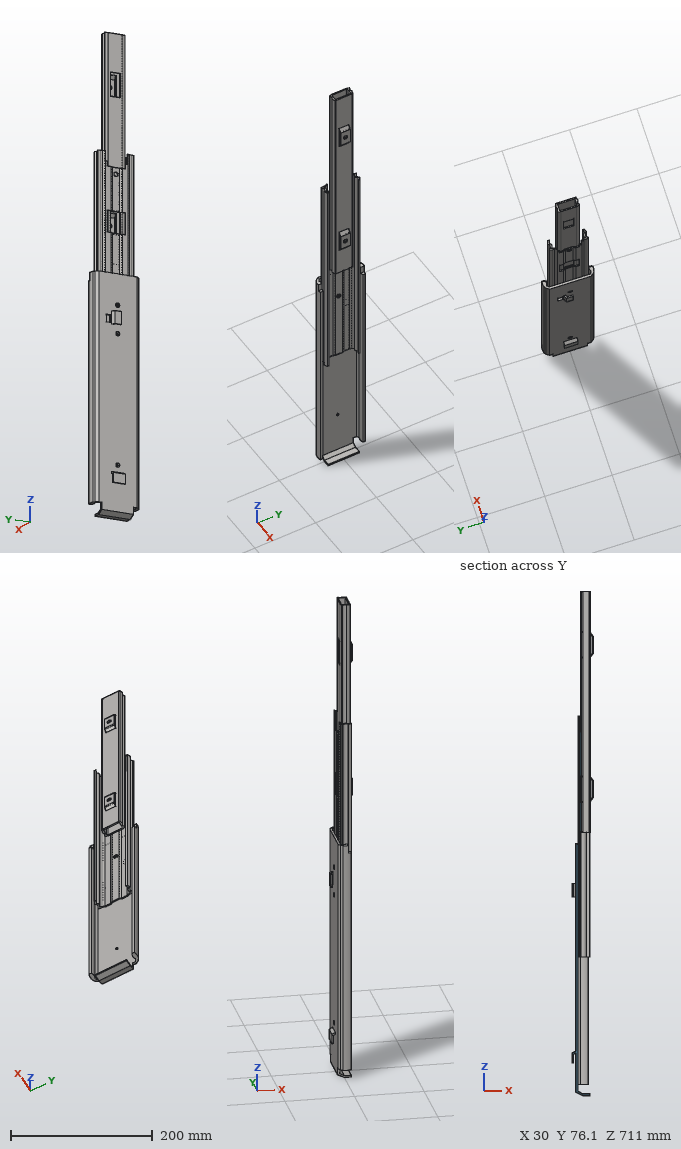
import cadquery as cq


TOTAL_LENGTH = 711.0
TOP_Z = TOTAL_LENGTH / 2
BOTTOM_Z = -TOTAL_LENGTH / 2
RAIL_LENGTH = 340.0
SLIDE_FRONT_X = -15.0
SLIDE_BACK_X = -SLIDE_FRONT_X
HOLE_DIAMETER = 6.5
CUT_MARGIN = 7.0

OUTER_TOP_Z = 0.0
OUTER_BOTTOM_Z = OUTER_TOP_Z - RAIL_LENGTH
OUTER_HALF_WIDTH = 38.05
OUTER_FRONT_X = -10.0
OUTER_WEB_THICKNESS = 3.5
OUTER_WEB_BACK_X = OUTER_FRONT_X + OUTER_WEB_THICKNESS
OUTER_WEB_HALF_WIDTH = 30.5
OUTER_BACK_X = 8.0
OUTER_SLOPE_BACK_X = -7.0
OUTER_SLOPE_DROP = 3.2
OUTER_BULGE_FRONT_X = -4.0
OUTER_BULGE_RISE = 1.1
OUTER_FLANGE_THICKNESS = 3.9
OUTER_BEAD_FRONT_X = -3.0
OUTER_BEAD_HEIGHT = 1.5
OUTER_NOTCH_HEIGHT = 11.5
OUTER_NOTCH_X = 3.5
STOP_HALF_WIDTH = 25.5
STOP_BACK_X = 10.0
STOP_BEND_X = 0.0
STOP_BEND_HEIGHT = 5.0
STOP_THICKNESS = 3.0
OUTER_THROUGH_HOLE_Z = -46.0
COUNTERSUNK_HOLE_ZS = (-88.0, -281.5)
COUNTERSUNK_BORE_DIAMETER = 3.5
HOOK_THICKNESS = 2.0
SIDE_HOOK_TOP_Z = -56.0
SIDE_HOOK_BOTTOM_Z = -75.5
SIDE_HOOK_ROOT_Y = 10.0
SIDE_HOOK_BEND_Y = 7.0
SIDE_HOOK_TIP_Y = -3.0
SIDE_WINDOW_TOP_Z = -62.0
SIDE_WINDOW_BOTTOM_Z = -73.0
SIDE_WINDOW_INNER_Y = 11.5
SIDE_WINDOW_OUTER_Y = 18.5
LOWER_HOOK_HALF_WIDTH = 10.0
LOWER_HOOK_TOP_Z = -292.0
LOWER_HOOK_BEND_Z = -295.0
LOWER_HOOK_BOTTOM_Z = -309.5

MIDDLE_TOP_Z = 180.0
MIDDLE_BOTTOM_Z = MIDDLE_TOP_Z - RAIL_LENGTH
MIDDLE_HALF_WIDTH = 29.0
MIDDLE_FRONT_X = -6.5
MIDDLE_BACK_X = 10.0
MIDDLE_SHEET_THICKNESS = 1.8
MIDDLE_GROOVE_DEPTH = 1.5
MIDDLE_GROOVE_FLOOR_Y = 6.0
MIDDLE_GROOVE_RIM_Y = 9.0
MIDDLE_WEB_HALF_WIDTH = 18.15
MIDDLE_STEP_DEPTH = 1.5
MIDDLE_STEP_INNER_Y = 21.7
MIDDLE_STEP_OUTER_Y = 25.0
MIDDLE_FLANGE_FRONT_X = -4.0
MIDDLE_TRACK_FRONT_X = -2.0
MIDDLE_TRACK_BACK_X = 5.0
MIDDLE_TRACK_FLOOR_X = 1.5
MIDDLE_TRACK_DEPTH = 3.0
MIDDLE_TRACK_FRONT_DROP = 1.1
MIDDLE_LIP_DROP = 2.0
MIDDLE_FLANGE_THICKNESS = 3.0
MIDDLE_NOTCH_DEPTH = 22.0
MIDDLE_NOTCH_SHOULDER_DEPTH = 15.0
MIDDLE_NOTCH_HALF_WIDTH = 18.0
MIDDLE_WINDOW_HALF_WIDTH = 14.6
MIDDLE_WINDOW_HEIGHT = 32.0
MIDDLE_HOLE_ZS = (148.0, OUTER_THROUGH_HOLE_Z)

INNER_BOTTOM_Z = TOP_Z - RAIL_LENGTH
INNER_HALF_WIDTH = 16.5
INNER_FRONT_X = MIDDLE_FRONT_X + MIDDLE_GROOVE_DEPTH + MIDDLE_SHEET_THICKNESS
INNER_WEB_THICKNESS = 1.8
INNER_BACK_X = 11.0
INNER_WEB_HALF_WIDTH = 11.5
INNER_FLANGE_FRONT_X = -2.0
INNER_FLANGE_INSIDE_X = 0.0
INNER_TRACK_FRONT_X = -1.0
INNER_TRACK_BACK_X = 5.0
INNER_TRACK_DEPTH = 1.5
INNER_LIP_DROP = 1.5
STRIP_THICKNESS = 2.0
STRIP_HALF_WIDTH = 13.0
PAD_ZS = (280.0, 77.0)
PAD_HEIGHT = 35.5
PAD_HALF_WIDTH = 8.0
PAD_SLOPE_HEIGHT = 6.0


def box(x_range, y_range, z_range):
    """An axis-aligned block between the given limits."""
    sizes = [high - low for low, high in (x_range, y_range, z_range)]
    corner = cq.Vector(x_range[0], y_range[0], z_range[0])
    return cq.Workplane(obj=cq.Solid.makeBox(*sizes, corner))


def both_sides(half_width):
    """Y limits of a feature centred on Y = 0."""
    return -half_width, half_width


def rail_from_half_section(half_section, bottom_z, top_z):
    """Extrudes the +Y half of a rail along Z and joins it to its mirror image."""
    half = half_section.close().extrude(top_z - bottom_z).translate((0, 0, bottom_z))
    return half.union(half.mirror("XZ"))


def bar_from_xz_outline(points, y_range):
    """Extrudes an outline of (x, z) points across the given Y limits."""
    bar = cq.Workplane("XZ").polyline(points).close().extrude(y_range[0] - y_range[1])
    return bar.translate((0, y_range[0], 0))


def x_hole(diameter, z):
    """A cylinder along X that crosses the whole slide on Y = 0."""
    depth = SLIDE_BACK_X - SLIDE_FRONT_X
    start = cq.Vector(SLIDE_FRONT_X, 0, z)
    return cq.Workplane(obj=cq.Solid.makeCylinder(diameter / 2, depth, start, cq.Vector(1, 0, 0)))


def outer_channel():
    """A channel open to +X whose flanges bulge outward and carry a low bead on the inside."""
    y_shoulder = OUTER_HALF_WIDTH - OUTER_SLOPE_DROP
    y_bulge_edge = OUTER_HALF_WIDTH - OUTER_BULGE_RISE
    y_inside = y_bulge_edge - OUTER_FLANGE_THICKNESS
    bulge_top = ((OUTER_BULGE_FRONT_X + OUTER_BACK_X) / 2, OUTER_HALF_WIDTH)
    bead_top = ((OUTER_BEAD_FRONT_X + OUTER_BACK_X) / 2, y_inside - OUTER_BEAD_HEIGHT)
    section = (
        cq.Workplane("XY")
        .moveTo(OUTER_FRONT_X, 0)
        .lineTo(OUTER_FRONT_X, OUTER_WEB_HALF_WIDTH)
        .lineTo(OUTER_SLOPE_BACK_X, y_shoulder)
        .lineTo(OUTER_BULGE_FRONT_X, y_bulge_edge)
        .threePointArc(bulge_top, (OUTER_BACK_X, y_bulge_edge))
        .lineTo(OUTER_BACK_X, y_inside)
        .threePointArc(bead_top, (OUTER_BEAD_FRONT_X, y_inside))
        .lineTo(OUTER_WEB_BACK_X, OUTER_WEB_HALF_WIDTH)
        .lineTo(OUTER_WEB_BACK_X, 0)
    )
    return rail_from_half_section(section, OUTER_BOTTOM_Z, OUTER_TOP_Z)


def outer_flange_notch():
    """Cuts both flanges back at the top end."""
    return box(
        (OUTER_NOTCH_X, OUTER_BACK_X + CUT_MARGIN),
        both_sides(OUTER_HALF_WIDTH + CUT_MARGIN),
        (OUTER_TOP_Z - OUTER_NOTCH_HEIGHT, OUTER_TOP_Z + CUT_MARGIN),
    )


def bottom_stop():
    """A tongue that continues the web downward and bends to +X under the rail."""
    points = [
        (OUTER_FRONT_X, OUTER_BOTTOM_Z),
        (OUTER_FRONT_X, BOTTOM_Z + STOP_BEND_HEIGHT),
        (STOP_BEND_X, BOTTOM_Z),
        (STOP_BACK_X, BOTTOM_Z),
        (STOP_BACK_X, BOTTOM_Z + STOP_THICKNESS),
        (STOP_BEND_X, BOTTOM_Z + STOP_THICKNESS),
        (OUTER_WEB_BACK_X, BOTTOM_Z + STOP_BEND_HEIGHT + STOP_THICKNESS / 2),
        (OUTER_WEB_BACK_X, OUTER_BOTTOM_Z),
    ]
    return bar_from_xz_outline(points, both_sides(STOP_HALF_WIDTH))


def countersunk_hole(z):
    """A through bore with a cone that opens to the full hole diameter at the front of the web."""
    cone = cq.Solid.makeCone(
        HOLE_DIAMETER / 2,
        COUNTERSUNK_BORE_DIAMETER / 2,
        OUTER_WEB_THICKNESS / 2,
        cq.Vector(OUTER_FRONT_X, 0, z),
        cq.Vector(1, 0, 0),
    )
    return x_hole(COUNTERSUNK_BORE_DIAMETER, z).union(cq.Workplane(obj=cone))


def side_hook():
    """A hook lanced from the web: it leaves at its +Y root and its lip points to -Y."""
    lip_back_x = SLIDE_FRONT_X + HOOK_THICKNESS
    points = [
        (OUTER_FRONT_X, SIDE_HOOK_ROOT_Y),
        (SLIDE_FRONT_X, SIDE_HOOK_BEND_Y),
        (SLIDE_FRONT_X, SIDE_HOOK_TIP_Y),
        (lip_back_x, SIDE_HOOK_TIP_Y),
        (lip_back_x, SIDE_HOOK_BEND_Y - HOOK_THICKNESS),
        (OUTER_FRONT_X, SIDE_HOOK_BEND_Y),
    ]
    height = SIDE_HOOK_TOP_Z - SIDE_HOOK_BOTTOM_Z
    hook = cq.Workplane("XY").polyline(points).close().extrude(height)
    return hook.translate((0, 0, SIDE_HOOK_BOTTOM_Z))


def side_hook_window():
    """The opening in the web beside the root of the side hook."""
    return box(
        (OUTER_FRONT_X, OUTER_WEB_BACK_X),
        (SIDE_WINDOW_INNER_Y, SIDE_WINDOW_OUTER_Y),
        (SIDE_WINDOW_BOTTOM_Z, SIDE_WINDOW_TOP_Z),
    )


def lower_hook():
    """A hook lanced from the web: it leaves at its top and its lip points down."""
    lip_back_x = SLIDE_FRONT_X + HOOK_THICKNESS
    points = [
        (OUTER_FRONT_X, LOWER_HOOK_TOP_Z),
        (SLIDE_FRONT_X, LOWER_HOOK_BEND_Z),
        (SLIDE_FRONT_X, LOWER_HOOK_BOTTOM_Z),
        (lip_back_x, LOWER_HOOK_BOTTOM_Z),
        (lip_back_x, LOWER_HOOK_BEND_Z - HOOK_THICKNESS),
        (OUTER_FRONT_X, LOWER_HOOK_BEND_Z),
    ]
    return bar_from_xz_outline(points, both_sides(LOWER_HOOK_HALF_WIDTH))


def make_outer_rail():
    rail = outer_channel().cut(outer_flange_notch()).union(bottom_stop())
    rail = rail.cut(x_hole(HOLE_DIAMETER, OUTER_THROUGH_HOLE_Z)).cut(side_hook_window())
    for z in COUNTERSUNK_HOLE_ZS:
        rail = rail.cut(countersunk_hole(z))
    return rail.union(side_hook()).union(lower_hook())


def middle_channel():
    """A channel open to +X with a grooved web, stepped shoulders and a ball track in each flange."""
    y_top = MIDDLE_HALF_WIDTH
    x_web = MIDDLE_FRONT_X
    x_groove = x_web + MIDDLE_GROOVE_DEPTH
    x_step = x_web + MIDDLE_STEP_DEPTH
    sheet = MIDDLE_SHEET_THICKNESS
    flange = MIDDLE_FLANGE_THICKNESS
    y_track_front = y_top - MIDDLE_TRACK_FRONT_DROP
    y_track_floor = y_top - MIDDLE_TRACK_DEPTH
    y_lip = y_top - MIDDLE_LIP_DROP
    section = (
        cq.Workplane("XY")
        .moveTo(x_groove, 0)
        .lineTo(x_groove, MIDDLE_GROOVE_FLOOR_Y)
        .lineTo(x_web, MIDDLE_GROOVE_RIM_Y)
        .lineTo(x_web, MIDDLE_WEB_HALF_WIDTH)
        .lineTo(x_step, MIDDLE_STEP_INNER_Y)
        .lineTo(x_step, MIDDLE_STEP_OUTER_Y)
        .lineTo(MIDDLE_FLANGE_FRONT_X, y_top)
        .lineTo(MIDDLE_TRACK_FRONT_X, y_track_front)
        .threePointArc((MIDDLE_TRACK_FLOOR_X, y_track_floor), (MIDDLE_TRACK_BACK_X, y_top))
        .lineTo(MIDDLE_BACK_X, y_lip)
        .lineTo(MIDDLE_BACK_X, y_lip - flange)
        .lineTo(MIDDLE_TRACK_BACK_X, y_top - flange)
        .threePointArc(
            (MIDDLE_TRACK_FLOOR_X, y_track_floor - flange),
            (MIDDLE_TRACK_FRONT_X, y_track_front - flange),
        )
        .lineTo(x_step + sheet, MIDDLE_STEP_INNER_Y)
        .lineTo(x_web + sheet, MIDDLE_WEB_HALF_WIDTH)
        .lineTo(x_web + sheet, MIDDLE_GROOVE_RIM_Y)
        .lineTo(x_groove + sheet, MIDDLE_GROOVE_FLOOR_Y)
        .lineTo(x_groove + sheet, 0)
    )
    return rail_from_half_section(section, MIDDLE_BOTTOM_Z, MIDDLE_TOP_Z)


def middle_web_cut(half_width, bottom_z, top_z):
    """A block that removes the middle rail's web over the given width and height."""
    return box((MIDDLE_FRONT_X, INNER_FRONT_X), both_sides(half_width), (bottom_z, top_z))


def make_middle_rail():
    window_z = PAD_ZS[1]
    notch_z = MIDDLE_TOP_Z - MIDDLE_NOTCH_DEPTH
    shoulder_z = MIDDLE_TOP_Z - MIDDLE_NOTCH_SHOULDER_DEPTH
    half_height = MIDDLE_WINDOW_HEIGHT / 2
    rail = middle_channel()
    rail = rail.cut(middle_web_cut(MIDDLE_NOTCH_HALF_WIDTH, shoulder_z, MIDDLE_TOP_Z))
    rail = rail.cut(middle_web_cut(MIDDLE_WINDOW_HALF_WIDTH, notch_z, shoulder_z))
    rail = rail.cut(
        middle_web_cut(MIDDLE_WINDOW_HALF_WIDTH, window_z - half_height, window_z + half_height)
    )
    for z in MIDDLE_HOLE_ZS:
        rail = rail.cut(x_hole(HOLE_DIAMETER, z))
    return rail


def inner_channel():
    """A channel open to +X with a ball track in each flange."""
    y_top = INNER_HALF_WIDTH
    x_web_back = INNER_FRONT_X + INNER_WEB_THICKNESS
    track_floor = ((INNER_TRACK_FRONT_X + INNER_TRACK_BACK_X) / 2, y_top - INNER_TRACK_DEPTH)
    section = (
        cq.Workplane("XY")
        .moveTo(INNER_FRONT_X, 0)
        .lineTo(INNER_FRONT_X, INNER_WEB_HALF_WIDTH)
        .lineTo(INNER_FLANGE_FRONT_X, y_top)
        .lineTo(INNER_TRACK_FRONT_X, y_top)
        .threePointArc(track_floor, (INNER_TRACK_BACK_X, y_top))
        .lineTo(INNER_BACK_X, y_top - INNER_LIP_DROP)
        .lineTo(INNER_BACK_X, STRIP_HALF_WIDTH)
        .lineTo(INNER_FLANGE_INSIDE_X, STRIP_HALF_WIDTH)
        .lineTo(x_web_back, INNER_WEB_HALF_WIDTH)
        .lineTo(x_web_back, 0)
    )
    return rail_from_half_section(section, INNER_BOTTOM_Z, TOP_Z)


def pad_window(x_range, z):
    """An opening with the width and height of a pad."""
    half_height = PAD_HEIGHT / 2
    return box(x_range, both_sides(PAD_HALF_WIDTH), (z - half_height, z + half_height))


def make_inner_rail():
    rail = inner_channel()
    for z in PAD_ZS:
        rail = rail.cut(pad_window((INNER_FRONT_X, INNER_FRONT_X + INNER_WEB_THICKNESS), z))
    return rail


def raised_pad(z):
    """A bridge with sloped ends, pressed out of the strip to +X and open at its sides."""
    half_height = PAD_HEIGHT / 2
    flat_half_height = half_height - PAD_SLOPE_HEIGHT
    strip_front_x = INNER_BACK_X - STRIP_THICKNESS
    pad_inside_x = SLIDE_BACK_X - STRIP_THICKNESS
    points = [
        (strip_front_x, z - half_height),
        (INNER_BACK_X, z - half_height),
        (SLIDE_BACK_X, z - flat_half_height),
        (SLIDE_BACK_X, z + flat_half_height),
        (INNER_BACK_X, z + half_height),
        (strip_front_x, z + half_height),
        (pad_inside_x, z + flat_half_height),
        (pad_inside_x, z - flat_half_height),
    ]
    return bar_from_xz_outline(points, both_sides(PAD_HALF_WIDTH))


def make_mounting_strip():
    strip_x = (INNER_BACK_X - STRIP_THICKNESS, INNER_BACK_X)
    strip = box(strip_x, both_sides(STRIP_HALF_WIDTH), (INNER_BOTTOM_Z, TOP_Z))
    for z in PAD_ZS:
        strip = strip.cut(pad_window(strip_x, z)).union(raised_pad(z)).cut(x_hole(HOLE_DIAMETER, z))
    return strip


outer_rail = make_outer_rail()
middle_rail = make_middle_rail()
inner_rail = make_inner_rail()
mounting_strip = make_mounting_strip()

result = cq.Compound.makeCompound(
    [outer_rail.val(), middle_rail.val(), inner_rail.val(), mounting_strip.val()]
)